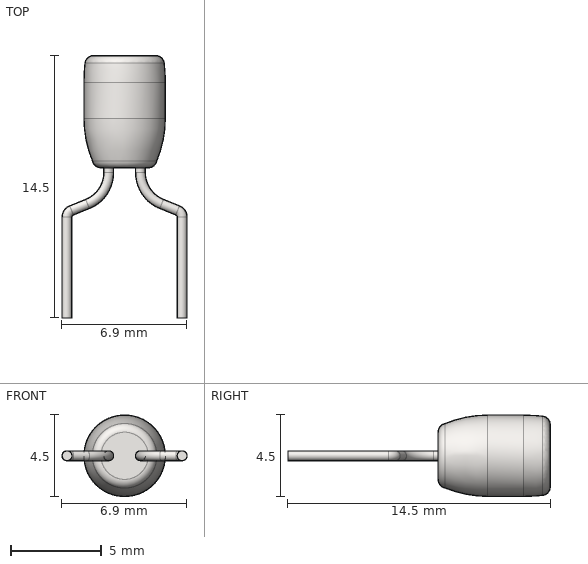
import cadquery as cq
import math

total_length = 14.46
body_length = 6.19
body_radius = 2.249
band_start = 2.73
band_end = 4.7
base_seam_radius = 1.78
base_seam_height = 0.39
base_flat_radius = 1.3
top_taper_radius = 2.13
top_edge_fillet = 0.48

lead_diameter = 0.55
lead_inner_pitch = 1.75
lead_outer_pitch = 6.35
stub_length = 0.26
lead_embed = 0.29
tip_length = 5.55
bend_angle = math.radians(68)
outer_bend_radius = 0.4


def taper_mid(small_radius, taper_length, band_edge, direction):
    """Halfway point of an arc that leaves the band tangentially."""
    drop = body_radius - small_radius
    arc_radius = (taper_length**2 + drop**2) / (2 * drop)
    half_angle = math.asin(taper_length / arc_radius) / 2
    return (
        body_radius - arc_radius * (1 - math.cos(half_angle)),
        band_edge + direction * arc_radius * math.sin(half_angle),
    )


def make_body():
    lower_mid = taper_mid(base_seam_radius, band_start - base_seam_height, band_start, -1)
    upper_mid = taper_mid(top_taper_radius, body_length - band_end, band_end, 1)
    profile = (
        cq.Workplane("XY")
        .lineTo(base_flat_radius, 0)
        .tangentArcPoint((base_seam_radius, base_seam_height), relative=False)
        .threePointArc(lower_mid, (body_radius, band_start))
        .lineTo(body_radius, band_end)
        .threePointArc(upper_mid, (top_taper_radius, body_length))
        .lineTo(0, body_length)
        .close()
    )
    body = profile.revolve(360, (0, 0, 0), (0, 1, 0))
    return body.faces(">Y").edges().fillet(top_edge_fillet)


def make_lead():
    """Right-hand lead: stub, outward bend, sloping run, bend back, straight tip."""
    inner_x = lead_inner_pitch / 2
    outer_x = lead_outer_pitch / 2
    tip_y = body_length - total_length
    bend_end_y = tip_y + tip_length
    sin_bend = math.sin(bend_angle)
    cos_bend = math.cos(bend_angle)

    run_x = outer_x - inner_x
    run_y = -stub_length - bend_end_y
    radius_sum = (run_y * sin_bend - run_x * cos_bend) / (1 - cos_bend)
    inner_bend_radius = radius_sum - outer_bend_radius

    def inner_bend(angle):
        return (
            inner_x + inner_bend_radius * (1 - math.cos(angle)),
            -stub_length - inner_bend_radius * math.sin(angle),
        )

    def outer_bend(angle):
        return (
            outer_x - outer_bend_radius * (1 - math.cos(angle)),
            bend_end_y + outer_bend_radius * math.sin(angle),
        )

    path = (
        cq.Workplane("XY")
        .moveTo(inner_x, lead_embed)
        .lineTo(inner_x, -stub_length)
        .threePointArc(inner_bend(bend_angle / 2), inner_bend(bend_angle))
        .lineTo(*outer_bend(bend_angle))
        .threePointArc(outer_bend(bend_angle / 2), (outer_x, bend_end_y))
        .lineTo(outer_x, tip_y)
    )
    section = cq.Workplane("XZ", origin=(inner_x, lead_embed, 0)).circle(lead_diameter / 2)
    return section.sweep(path)


lead = make_lead()
result = make_body().union(lead).union(lead.mirror("YZ"))